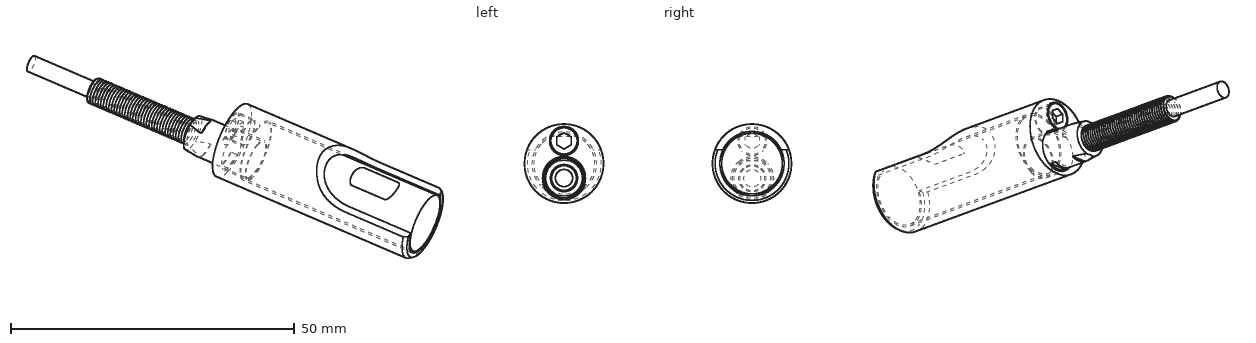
import cadquery as cq
import math


sleeve_start = 12.55
gland_start = 32.8
housing_start = 40.75
total_length = 79.9

housing_diameter = 14.0
bore_diameter = 11.35
rear_wall = 4.8
end_chamfer_length = 0.7
end_chamfer_depth = 0.5

scoop_start = 59.0
scoop_floor = 2.5
scoop_radius = 9.5
ramp_angle = math.radians(45)

core_diameter = 10.7
pocket_start = 65.05
pocket_length = 9.3
pocket_width = 4.6
pocket_floor = 4.8
pocket_end_radius = 1.5

cable_drop = 2.55
cable_diameter = 3.0
sleeve_diameter = 4.8
ring_radius = 0.28
ring_pitch = 0.54
ring_count = 37
gland_diameter = 7.0
gland_tip_diameter = 6.5
gland_taper_length = 2.4
gland_hole_diameter = 7.6
flat_distance = 3.1
front_flat_length = 2.7
rear_flat_distance = 3.0
rear_flat_length = 1.2

screw_height = 4.0
screw_diameter = 4.6
screw_hole_diameter = 5.1
screw_length = 3.2
socket_width = 2.5
socket_depth = 1.6

bore_start = housing_start + rear_wall
bore_length = total_length - bore_start
housing_radius = housing_diameter / 2
gland_radius = gland_diameter / 2


def rod(start, length, diameter, height=0.0):
    """Round bar parallel to X, with its axis at the given height."""
    return cq.Workplane("YZ", origin=(start, 0, height)).circle(diameter / 2).extrude(length)


def scoop_cutter():
    """Everything above the ramp, arc and flat, across the whole housing."""
    arc_top = scoop_floor + scoop_radius * (1 - math.cos(ramp_angle))
    arc_start = scoop_start + (housing_radius - arc_top) / math.tan(ramp_angle)
    arc_end = arc_start + scoop_radius * math.sin(ramp_angle)
    arc_middle = (
        arc_end - scoop_radius * math.sin(ramp_angle / 2),
        scoop_floor + scoop_radius * (1 - math.cos(ramp_angle / 2)),
    )
    return (
        cq.Workplane("XZ")
        .moveTo(scoop_start, housing_radius)
        .lineTo(arc_start, arc_top)
        .threePointArc(arc_middle, (arc_end, scoop_floor))
        .lineTo(total_length, scoop_floor)
        .lineTo(total_length, housing_radius)
        .close()
        .extrude(housing_radius, both=True)
    )


def make_housing():
    tube = (
        rod(housing_start, total_length - housing_start, housing_diameter)
        .faces(">X")
        .chamfer(end_chamfer_length, end_chamfer_depth)
    )
    bore = rod(bore_start, bore_length, bore_diameter)
    gland_hole = rod(housing_start, rear_wall, gland_hole_diameter, -cable_drop)
    screw_hole = rod(housing_start, screw_length, screw_hole_diameter, screw_height)
    return tube.cut(bore).cut(gland_hole).cut(screw_hole).cut(scoop_cutter())


def pocket_cutter():
    """Rectangular pocket whose two end walls curve into the floor."""
    return (
        cq.Workplane("XY", origin=(pocket_start, 0, pocket_floor))
        .rect(pocket_length, pocket_width)
        .extrude(core_diameter / 2)
        .translate((pocket_length / 2, 0, 0))
        .edges("<Z and |Y")
        .fillet(pocket_end_radius)
    )


def flat_cutter(start, length, distance, side):
    """Block that leaves a wrench flat above (side 1) or below (side -1) the gland axis."""
    block_height = gland_radius
    return cq.Workplane("XY").box(length, gland_diameter, block_height).translate(
        (start + length / 2, 0, side * (distance + block_height / 2))
    )


def cable_and_gland():
    """Cable, ringed sleeve and gland turned about one axis."""
    half_pitch = ring_pitch / 2
    crest = sleeve_diameter / 2
    ring_centre = crest - ring_radius
    root = ring_centre + math.sqrt(ring_radius**2 - half_pitch**2)
    first_valley = gland_start - ring_count * ring_pitch

    outline = (
        cq.Workplane("XZ")
        .lineTo(0, cable_diameter / 2)
        .lineTo(sleeve_start, cable_diameter / 2)
        .lineTo(sleeve_start, root)
        .lineTo(first_valley, root)
    )
    for i in range(ring_count):
        valley = first_valley + i * ring_pitch
        outline = outline.threePointArc((valley + half_pitch, crest), (valley + ring_pitch, root))
    turned = (
        outline.lineTo(gland_start, gland_tip_diameter / 2)
        .lineTo(gland_start + gland_taper_length, gland_radius)
        .lineTo(bore_start, gland_radius)
        .lineTo(bore_start, 0)
        .close()
        .revolve(360, (0, 0, 0), (1, 0, 0))
    )
    rear_flat_start = housing_start - rear_flat_length
    for side in (1, -1):
        turned = turned.cut(flat_cutter(gland_start, front_flat_length, flat_distance, side))
        turned = turned.cut(flat_cutter(rear_flat_start, rear_flat_length, rear_flat_distance, side))
    return turned.translate((0, 0, -cable_drop))


def make_core():
    body = rod(bore_start, bore_length, core_diameter).cut(pocket_cutter())
    return body.union(cable_and_gland())


def make_screw():
    """Screw head with a hexagon socket that has a corner at its top."""
    head = rod(housing_start, screw_length, screw_diameter, screw_height)
    socket = (
        cq.Workplane("YZ", origin=(housing_start, 0, screw_height))
        .transformed(rotate=(0, 0, 90))
        .polygon(6, socket_width / math.cos(math.pi / 6))
        .extrude(socket_depth)
    )
    return head.cut(socket)


housing = make_housing()
core = make_core()
screw = make_screw()

result = cq.Compound.makeCompound([housing.val(), core.val(), screw.val()])